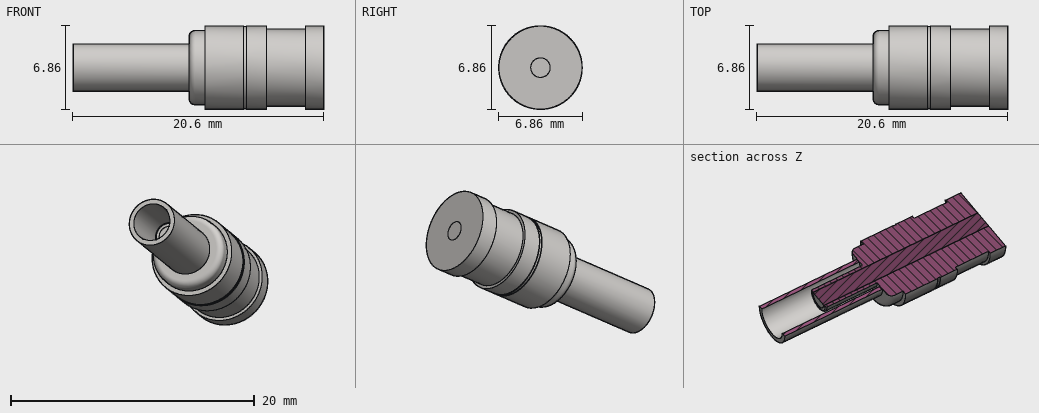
import cadquery as cq

TOTAL_LENGTH = 20.55
REAR_X = -TOTAL_LENGTH / 2
FRONT_X = TOTAL_LENGTH / 2

TUBE_DIA = 3.9
TUBE_BORE_DIA = 3.1
TUBE_LENGTH = 9.5

BODY_DIA = 6.86
COLLAR_DIA = 6.1
COLLAR_LENGTH = 1.3
COLLAR_ROUND = 0.5
BARREL_LENGTH = 3.15
GROOVE_DIA = 6.76
GROOVE_WIDTH = 0.25
BAND_LENGTH = 1.65
NECK_DIA = 6.35
RIM_LENGTH = 1.52
NECK_LENGTH = (TOTAL_LENGTH - TUBE_LENGTH - COLLAR_LENGTH - BARREL_LENGTH
               - GROOVE_WIDTH - BAND_LENGTH - RIM_LENGTH)

POST_DIA = 2.3
POST_LENGTH = 5.0
POST_CHAMFER = 0.1
CORE_DIA = 1.6

COLLAR_X = REAR_X + TUBE_LENGTH
POST_TIP_X = COLLAR_X - POST_LENGTH


def cylinder(start_x, diameter, length):
    """Solid cylinder along +X from start_x."""
    return cq.Workplane("YZ", origin=(start_x, 0, 0)).circle(diameter / 2).extrude(length)


def make_tube():
    """Plain tube that butts against the rear face of the housing."""
    bore = cylinder(REAR_X, TUBE_BORE_DIA, TUBE_LENGTH)
    return cylinder(REAR_X, TUBE_DIA, TUBE_LENGTH).cut(bore)


def make_core():
    """Round core running from the post tip to the front face."""
    return cylinder(POST_TIP_X, CORE_DIA, FRONT_X - POST_TIP_X)


def make_housing():
    """Stepped housing with a rounded collar, a chamfered post and a bore for the core."""
    housing = cylinder(COLLAR_X, COLLAR_DIA, COLLAR_LENGTH).faces("<X").edges().fillet(COLLAR_ROUND)

    section_x = COLLAR_X + COLLAR_LENGTH
    sections = [
        (BODY_DIA, BARREL_LENGTH),
        (GROOVE_DIA, GROOVE_WIDTH),
        (BODY_DIA, BAND_LENGTH),
        (NECK_DIA, NECK_LENGTH),
        (BODY_DIA, RIM_LENGTH),
    ]
    for diameter, length in sections:
        housing = housing.union(cylinder(section_x, diameter, length))
        section_x += length

    post = cylinder(POST_TIP_X, POST_DIA, POST_LENGTH).faces("<X").edges().chamfer(POST_CHAMFER)
    return housing.union(post).cut(make_core())


tube = make_tube()
housing = make_housing()
core = make_core()

result = cq.Compound.makeCompound([tube.val(), housing.val(), core.val()])